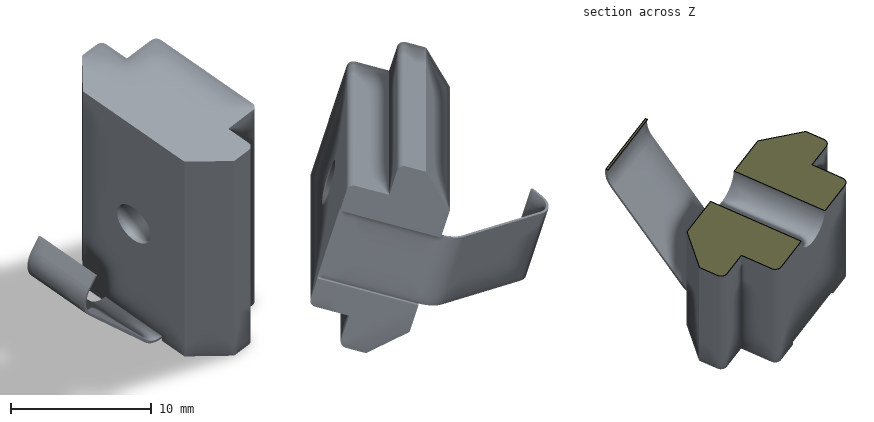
import cadquery as cq
import math

height = 20.0
half_width = 7.5
half_neck = 5.0
depth = 7.5
shoulder_y = 4.5
flank_y = 2.5
corner_radius = 0.5
hole_diameter = 3.3

spring_width = 5.6
spring_thickness = 0.2
spring_bottom = 0.3
spring_reach = 8.0
inner_radius = 2.0
outer_radius = inner_radius + spring_thickness
bend_angle = 51.0
tip_length = 1.08


def make_block():
    profile = [
        (-half_neck, 0),
        (half_neck, 0),
        (half_width, flank_y),
        (half_width, shoulder_y),
        (half_neck, shoulder_y),
        (half_neck, depth),
        (-half_neck, depth),
        (-half_neck, shoulder_y),
        (-half_width, shoulder_y),
        (-half_width, flank_y),
    ]
    block = cq.Workplane("XY").polyline(profile).close().extrude(height)
    for x, y in ((half_width, shoulder_y), (half_neck, depth)):
        for side in (-1, 1):
            corner = cq.selectors.NearestToPointSelector((side * x, y, height / 2))
            block = block.edges(corner).fillet(corner_radius)
    return block


def make_hole():
    return (
        cq.Workplane("XZ")
        .center(0, height / 2)
        .circle(hole_diameter / 2)
        .extrude(-depth)
    )


def make_notch():
    return cq.Workplane("XY").box(
        spring_width, depth, spring_bottom, centered=(True, False, False)
    )


def polar(center, radius, degrees):
    """Point (y, z) on a circle; 180 degrees points away from the block."""
    angle = math.radians(degrees)
    return (
        center[0] + radius * math.cos(angle),
        center[1] + radius * math.sin(angle),
    )


def make_spring():
    slope = math.radians(bend_angle)
    root_center = (0, spring_bottom + outer_radius)
    top_y = outer_radius - spring_reach
    top_center = (top_y, root_center[1] - top_y * math.tan(slope))

    down = 270
    forward = 180
    arm_side = down - bend_angle
    root_middle = down - bend_angle / 2
    tip_side = 90 + bend_angle

    def tip_end(radius):
        y, z = polar(top_center, radius, tip_side)
        return (y + tip_length * math.cos(slope), z + tip_length * math.sin(slope))

    return (
        cq.Workplane("YZ")
        .moveTo(*polar(root_center, outer_radius, down))
        .threePointArc(
            polar(root_center, outer_radius, root_middle),
            polar(root_center, outer_radius, arm_side),
        )
        .lineTo(*polar(top_center, outer_radius, arm_side))
        .threePointArc(
            polar(top_center, outer_radius, forward),
            polar(top_center, outer_radius, tip_side),
        )
        .lineTo(*tip_end(outer_radius))
        .lineTo(*tip_end(inner_radius))
        .lineTo(*polar(top_center, inner_radius, tip_side))
        .threePointArc(
            polar(top_center, inner_radius, forward),
            polar(top_center, inner_radius, arm_side),
        )
        .lineTo(*polar(root_center, inner_radius, arm_side))
        .threePointArc(
            polar(root_center, inner_radius, root_middle),
            polar(root_center, inner_radius, down),
        )
        .close()
        .extrude(spring_width / 2, both=True)
    )


result = make_block().cut(make_hole()).cut(make_notch()).union(make_spring())